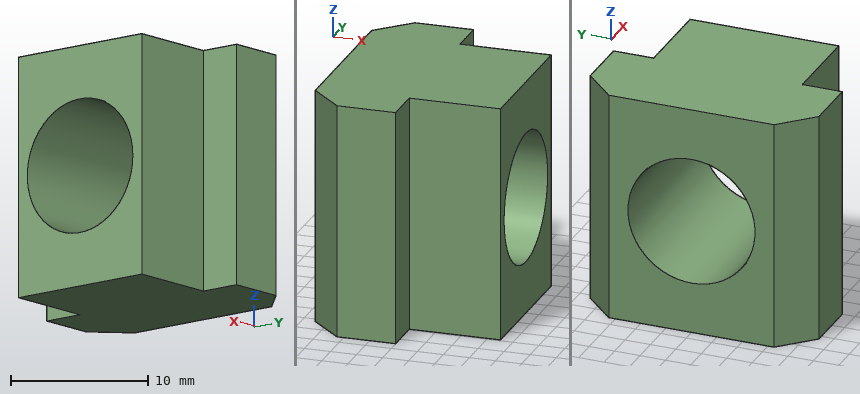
import cadquery as cq

width = 18.0
height = 18.0
depth = 14.0
flange_depth = depth / 2
neck_width = 11.7
chamfer = 2.5
bore_diameter = 10.0

flange = (
    cq.Workplane("XY")
    .box(flange_depth, width, height, centered=(False, True, True))
    .edges("|Z and <X")
    .chamfer(chamfer)
)

neck = cq.Workplane("XY").box(depth, neck_width, height, centered=(False, True, True))

bore = cq.Workplane("YZ").circle(bore_diameter / 2).extrude(depth)

result = flange.union(neck).cut(bore)